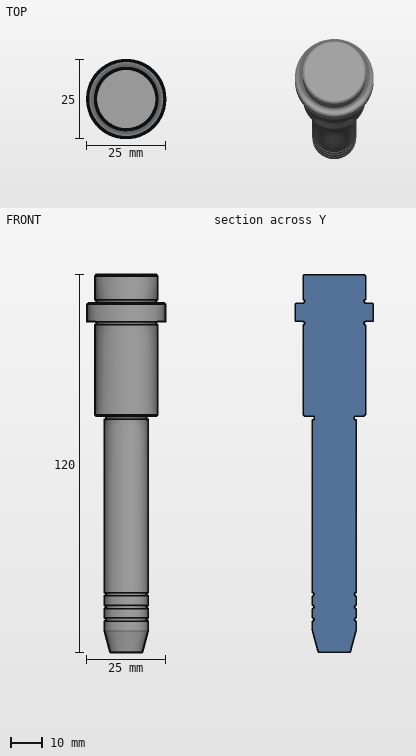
import cadquery as cq
import math

head_radius = 10.0
flange_radius = 12.5
shank_radius = 7.0

head_top = 15.0
flange_top = 6.0
flange_underside = 0.0
body_bottom = -30.0
cone_top = -98.0
tip_bottom = -105.0

edge_chamfer = 0.5

groove_radius = 0.5
groove_width = 2 * groove_radius
ring_count = 3
ring_pitch = 4.0
first_ring_top = -86.0

neck_width = 1.0
neck_radius = 6.5

taper_angle = 15.0
tip_radius = shank_radius - (cone_top - tip_bottom) * math.tan(math.radians(taper_angle))
tip_fillet = 0.5


def cylinder(radius, bottom, top):
    """Solid cylinder on the Z axis between two levels."""
    return cq.Workplane("XY").workplane(offset=bottom).circle(radius).extrude(top - bottom)


def revolve_about_z(outline):
    """Close an XZ outline and turn it fully about the Z axis."""
    return outline.close().revolve(360, (0, 0, 0), (0, 1, 0))


def cut_groove(solid, radius, top):
    """Cut a half-round ring groove into a cylinder, downward from the given level."""
    floor_point = (radius - groove_radius, top - groove_radius)
    bottom_point = (radius, top - groove_width)
    outline = cq.Workplane("XZ").moveTo(radius, top).threePointArc(floor_point, bottom_point)
    return solid.cut(revolve_about_z(outline))


def make_head():
    head = cylinder(head_radius, flange_top, head_top).faces(">Z").chamfer(edge_chamfer)
    return cut_groove(head, head_radius, flange_top + groove_width)


def make_flange():
    flange = cylinder(flange_radius, flange_underside, flange_top)
    return flange.faces(">Z").chamfer(edge_chamfer)


def make_body():
    body = cylinder(head_radius, body_bottom, flange_underside).faces("<Z").chamfer(edge_chamfer)
    return cut_groove(body, head_radius, flange_underside)


def make_shank():
    shank_top = body_bottom - neck_width
    shank = cylinder(shank_radius, cone_top, shank_top)
    for index in range(ring_count):
        shank = cut_groove(shank, shank_radius, first_ring_top - index * ring_pitch)
    neck = cylinder(neck_radius, shank_top, body_bottom)
    return shank.union(neck)


def make_tip():
    outline = (
        cq.Workplane("XZ")
        .moveTo(0, cone_top)
        .lineTo(shank_radius, cone_top)
        .lineTo(tip_radius, tip_bottom)
        .lineTo(0, tip_bottom)
    )
    return revolve_about_z(outline).faces("<Z").edges().fillet(tip_fillet)


result = make_head().union(make_flange()).union(make_body()).union(make_shank()).union(make_tip())